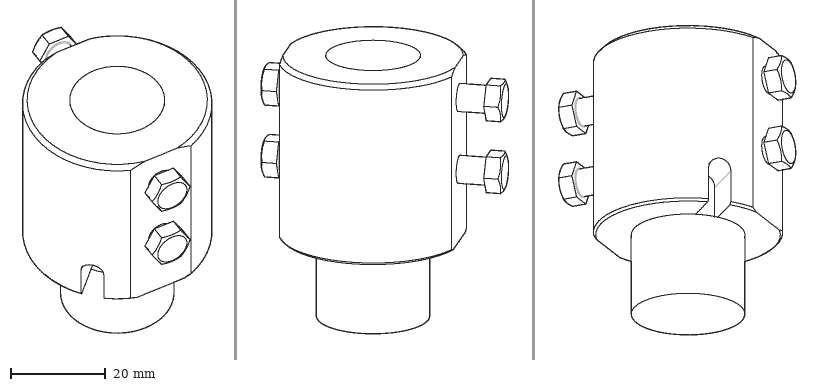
import cadquery as cq
import math

total_height = 58.0
spigot_height = 18.0
body_height = total_height - spigot_height

body_diameter = 40.0
flat_half_width = 18.6
spigot_diameter = 24.0
bore_diameter = 20.0
bore_depth = body_height
top_chamfer = 1.0
bottom_chamfer = 0.5

slot_width = 5.0
slot_height = 10.0
slot_angle = -45.0

bolt_diameter = 6.0
bolt_spacing = 16.0
bolt_top_offset = 8.0
upper_bolt_z = total_height - bolt_top_offset
bolt_heights = (upper_bolt_z, upper_bolt_z - bolt_spacing)
head_flats = 8.0
head_corners = head_flats / math.cos(math.radians(30))
head_thickness = 3.6
head_chamfer = 0.5
head_face_diameter = 7.1
underhead_fillet = 0.2
left_reach = 28.55
right_reach = 23.5
thread_embed = 3.5


def make_body():
    body = (
        cq.Workplane("XY")
        .workplane(offset=spigot_height)
        .circle(body_diameter / 2)
        .extrude(body_height)
        .faces(">Z").edges().chamfer(top_chamfer)
        .faces("<Z").edges().chamfer(bottom_chamfer)
    )
    flats = cq.Workplane("XY").box(
        2 * flat_half_width, body_diameter, total_height, centered=(True, True, False)
    )
    spigot = cq.Workplane("XY").circle(spigot_diameter / 2).extrude(spigot_height)
    bore = (
        cq.Workplane("XY")
        .workplane(offset=total_height - bore_depth)
        .circle(bore_diameter / 2)
        .extrude(bore_depth)
    )
    return body.intersect(flats).union(spigot).cut(bore)


def make_slot():
    """Round-topped slot running outward from the axis."""
    half_width = slot_width / 2
    spring_z = spigot_height + slot_height - half_width
    return (
        cq.Workplane("YZ")
        .moveTo(-half_width, spigot_height)
        .lineTo(-half_width, spring_z)
        .threePointArc((0, spigot_height + slot_height), (half_width, spring_z))
        .lineTo(half_width, spigot_height)
        .close()
        .extrude(body_diameter)
        .rotate((0, 0, 0), (0, 0, 1), slot_angle)
    )


def make_bolt(reach):
    """Hex bolt along +X whose chamfered head ends at the given reach."""
    head_start = reach - head_thickness
    shank_start = flat_half_width - thread_embed
    shank = (
        cq.Workplane("YZ")
        .workplane(offset=shank_start)
        .circle(bolt_diameter / 2)
        .extrude(head_start - shank_start)
    )
    head = (
        cq.Workplane("YZ")
        .workplane(offset=head_start)
        .polygon(6, head_corners)
        .extrude(head_thickness)
    )
    envelope = (
        cq.Workplane("XY")
        .moveTo(head_start, 0)
        .lineTo(head_start, head_corners / 2)
        .lineTo(reach - head_chamfer, head_corners / 2)
        .lineTo(reach, head_face_diameter / 2)
        .lineTo(reach, 0)
        .close()
        .revolve(360, (0, 0, 0), (1, 0, 0))
    )
    bolt = shank.union(head.intersect(envelope))
    junction = cq.selectors.BoxSelector(
        (head_start - underhead_fillet, -bolt_diameter, -bolt_diameter),
        (head_start + underhead_fillet, bolt_diameter, bolt_diameter),
    )
    return bolt.edges("%CIRCLE").edges(junction).fillet(underhead_fillet)


result = make_body().cut(make_slot())
right_bolt = make_bolt(right_reach)
left_bolt = make_bolt(left_reach).rotate((0, 0, 0), (0, 0, 1), 180)
for bolt_z in bolt_heights:
    result = result.union(right_bolt.translate((0, 0, bolt_z)))
    result = result.union(left_bolt.translate((0, 0, bolt_z)))